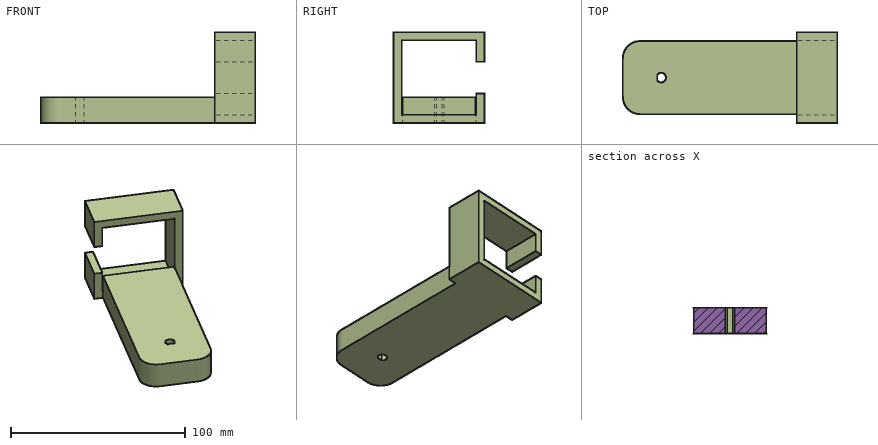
import cadquery as cq
import math

total_length = 123.0
clip_size = 52.3

clip_length = 23.2
wall = 4.8
slot_height = 18.0

arm_width = 42.1
arm_thickness = 15.0
arm_corner_radius = 10.0
hole_diameter = 5.4
hole_flat_offset = 2.1
hole_from_tip = 22.0

arm_length = total_length - clip_length
inner_size = clip_size - 2 * wall


def make_hole():
    """Round hole cut off by a flat on its -X side."""
    radius = hole_diameter / 2
    flat_half_width = math.sqrt(radius**2 - hole_flat_offset**2)
    return (
        cq.Workplane("XY", origin=(hole_from_tip, 0, 0))
        .moveTo(-hole_flat_offset, -flat_half_width)
        .threePointArc((radius, 0), (-hole_flat_offset, flat_half_width))
        .close()
        .extrude(arm_thickness)
    )


def make_arm():
    """Flat arm with a rounded free end and a vertical D-shaped through hole."""
    arm = cq.Workplane("XY").box(arm_length, arm_width, arm_thickness, centered=(False, True, False))
    arm = arm.edges("|Z and <X").fillet(arm_corner_radius)
    return arm.cut(make_hole())


def make_clip():
    """Square tube along X, slotted through the middle of its +Y wall."""
    tube = (
        cq.Workplane("YZ", origin=(arm_length, 0, clip_size / 2))
        .rect(clip_size, clip_size)
        .rect(inner_size, inner_size)
        .extrude(clip_length)
    )
    slot = cq.Workplane("XY").box(clip_length, wall, slot_height, centered=(False, False, True))
    return tube.cut(slot.translate((arm_length, inner_size / 2, clip_size / 2)))


result = make_arm().union(make_clip())